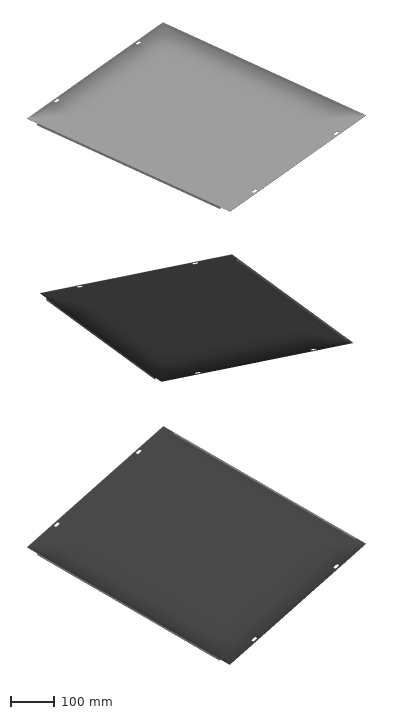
import cadquery as cq

panel_length = 600.0
panel_width = 499.0
sheet_thickness = 1.0
total_height = 6.5

flange_end_setback = 30.0
flange_length = panel_length - 2 * flange_end_setback

slot_length = 15.0
slot_width = 7.0
slot_edge_distance = 8.0
slot_spacing_x = panel_length - 2 * slot_edge_distance
slot_spacing_y = 300.0


def make_panel():
    return cq.Workplane("XY").box(
        panel_length, panel_width, sheet_thickness, centered=(True, True, False)
    ).translate((0, 0, -sheet_thickness))


def make_flange(side):
    """Return the downward flange on the -Y (side = -1) or +Y (side = 1) edge."""
    center_y = side * (panel_width - sheet_thickness) / 2
    return cq.Workplane("XY").box(
        flange_length, sheet_thickness, total_height, centered=(True, True, False)
    ).translate((0, center_y, -total_height))


def make_slots():
    return (
        cq.Workplane("XY")
        .rarray(slot_spacing_x, slot_spacing_y, 2, 2)
        .slot2D(slot_length, slot_width, 90)
        .extrude(-sheet_thickness)
    )


result = make_panel()
for side in (-1, 1):
    result = result.union(make_flange(side))
result = result.cut(make_slots())